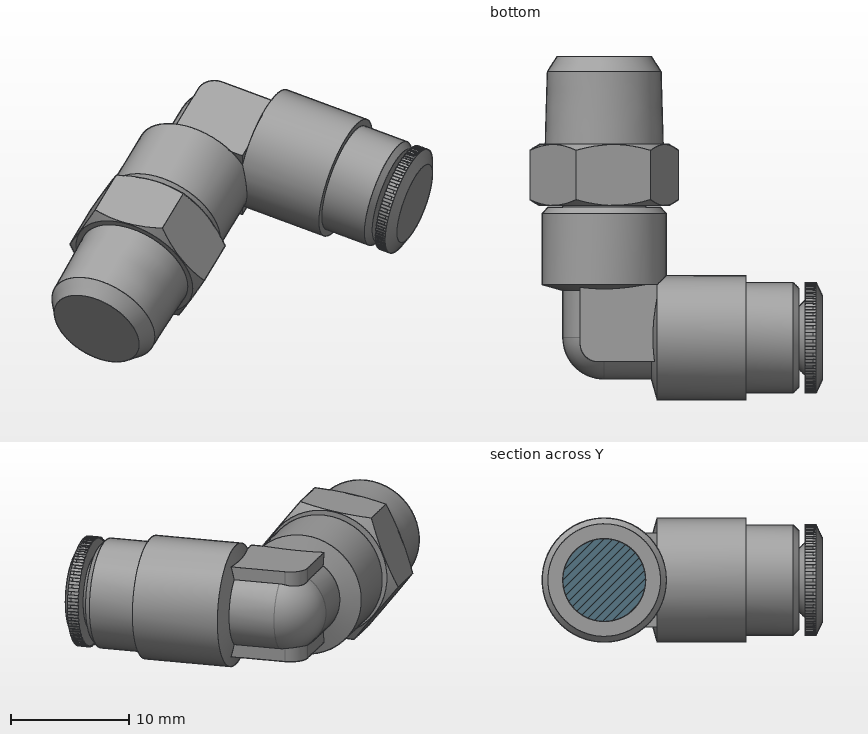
import cadquery as cq
import math


TUBE_R = 3.52
WEB_OFFSET = 2.03
WEB_HALF_THICKNESS = 3.98
WEB_CORNER_R = 1.5

SLEEVE_R = 5.25
SLEEVE_START = 4.47
SLEEVE_CONE_LENGTH = 0.5

OVERALL_LENGTH = 29.05
STEM_END = OVERALL_LENGTH - SLEEVE_R
STEM_SLEEVE_END = 11.05
STEM_CHAMFER_LENGTH = 0.55
STEM_CHAMFER_DEPTH = 0.5

HEX_START = 11.15
HEX_END = 16.35
HEX_FLATS = 11.0
HEX_TURN = 8.1
HEX_CHAMFER_ANGLE = 30.0
HEX_FACE_R = 5.45
HEX_CORNER_R = HEX_FLATS / math.sqrt(3)

THREAD_START_R = 5.0
THREAD_END_R = 4.82
THREAD_CHAMFER_LENGTH = 1.3
THREAD_TIP_R = 3.98

OUTLET_SLEEVE_END = 12.0
NOSE_R = 4.68
NOSE_END = 16.47
NOSE_CHAMFER = 0.5
COLLAR_NECK_R = 2.67
COLLAR_NECK_FLARE_R = 3.2

COLLAR_R = 4.68
COLLAR_START = 17.0
COLLAR_RIM_END = 17.92
COLLAR_END = 18.48
COLLAR_TIP_R = 3.52
KNURL_COUNT = 50
KNURL_DEPTH = 0.102
KNURL_RUNOUT = 0.25
KNURL_PITCH_ANGLE = 360.0 / KNURL_COUNT
KNURL_WIDTH = math.pi * COLLAR_R / KNURL_COUNT


def revolve_stem(profile):
    """Revolve (distance, radius) points about the Y axis, distances running along -Y."""
    end = profile[-1][0]
    points = [(0, -profile[0][0])]
    points += [(radius, -distance) for distance, radius in profile]
    points += [(0, -end)]
    return cq.Workplane("XY").polyline(points).close().revolve(360, (0, 0, 0), (0, 1, 0))


def revolve_outlet(profile):
    """Revolve (distance, radius) points about the X axis, distances running along +X."""
    points = [(profile[0][0], 0)] + profile + [(profile[-1][0], 0)]
    return cq.Workplane("XY").polyline(points).close().revolve(360, (0, 0, 0), (1, 0, 0))


def sleeve_back_profile():
    """Tube from the origin followed by the cone that opens to the sleeve radius."""
    return [
        (0, TUBE_R),
        (SLEEVE_START - SLEEVE_CONE_LENGTH, TUBE_R),
        (SLEEVE_START, SLEEVE_R),
    ]


def make_elbow_core():
    """Ball at the bend with a flat-sided web filling the inner corner."""
    ball = cq.Workplane("XY").sphere(TUBE_R)
    side = SLEEVE_START + WEB_OFFSET
    web = (
        cq.Workplane("XY")
        .box(side, side, 2 * WEB_HALF_THICKNESS)
        .edges("|Z and <X and >Y")
        .fillet(WEB_CORNER_R)
        .translate((SLEEVE_START - side / 2, WEB_OFFSET - side / 2, 0))
    )
    return ball.union(web)


def make_stem():
    """Stem sleeve, the neck behind the hex, and the tapered thread body."""
    return revolve_stem(sleeve_back_profile() + [
        (STEM_SLEEVE_END - STEM_CHAMFER_LENGTH, SLEEVE_R),
        (STEM_SLEEVE_END, SLEEVE_R - STEM_CHAMFER_DEPTH),
        (STEM_SLEEVE_END, TUBE_R),
        (HEX_END, TUBE_R),
        (HEX_END, THREAD_START_R),
        (STEM_END - THREAD_CHAMFER_LENGTH, THREAD_END_R),
        (STEM_END, THREAD_TIP_R),
    ])


def make_hex():
    """Hexagon with conical chamfers on both end faces."""
    corners = []
    for i in range(6):
        angle = math.radians(HEX_TURN + 60 * i)
        corners.append((HEX_CORNER_R * math.cos(angle), HEX_CORNER_R * math.sin(angle)))
    prism = (
        cq.Workplane("XZ", origin=(0, -HEX_START, 0))
        .polyline(corners)
        .close()
        .extrude(HEX_END - HEX_START)
    )
    chamfer_length = (HEX_CORNER_R - HEX_FACE_R) * math.tan(math.radians(HEX_CHAMFER_ANGLE))
    envelope = revolve_stem([
        (HEX_START, HEX_FACE_R),
        (HEX_START + chamfer_length, HEX_CORNER_R),
        (HEX_END - chamfer_length, HEX_CORNER_R),
        (HEX_END, HEX_FACE_R),
    ])
    return prism.intersect(envelope)


def make_outlet():
    """Outlet sleeve, nose, flared collar neck and plain release collar."""
    return revolve_outlet(sleeve_back_profile() + [
        (OUTLET_SLEEVE_END, SLEEVE_R),
        (OUTLET_SLEEVE_END, NOSE_R),
        (NOSE_END - NOSE_CHAMFER, NOSE_R),
        (NOSE_END, NOSE_R - NOSE_CHAMFER),
        (NOSE_END, COLLAR_NECK_R),
        (COLLAR_START, COLLAR_NECK_FLARE_R),
        (COLLAR_START, COLLAR_R),
        (COLLAR_RIM_END, COLLAR_R),
        (COLLAR_END, COLLAR_TIP_R),
    ])


def make_knurl_grooves():
    """Ring of radial grooves, each closed by a ramp that rises to the rim end."""
    floor_r = COLLAR_R - KNURL_DEPTH
    outer_r = COLLAR_R + KNURL_DEPTH
    groove = (
        cq.Workplane("XY")
        .polyline([
            (COLLAR_START, floor_r),
            (COLLAR_RIM_END - KNURL_RUNOUT, floor_r),
            (COLLAR_RIM_END + KNURL_RUNOUT, outer_r),
            (COLLAR_START, outer_r),
        ])
        .close()
        .extrude(KNURL_WIDTH / 2, both=True)
        .val()
    )
    grooves = []
    for i in range(KNURL_COUNT):
        angle = i * KNURL_PITCH_ANGLE
        grooves.append(groove.rotate(cq.Vector(0, 0, 0), cq.Vector(1, 0, 0), angle))
    return cq.Compound.makeCompound(grooves)


outlet = make_outlet().cut(cq.Workplane(obj=make_knurl_grooves()))
result = make_elbow_core().union(make_stem()).union(make_hex()).union(outlet)